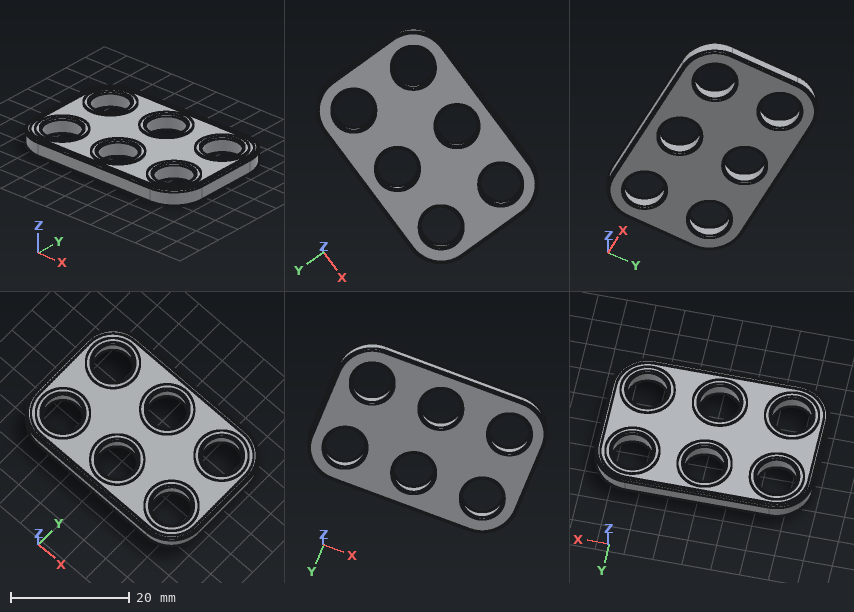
import cadquery as cq

columns = 3
rows = 2
length = 37.5
pitch = length / columns
width = rows * pitch
thickness = pitch / 4
corner_radius = pitch / 2
edge_chamfer = 0.3

rim_width = 0.82
recess_depth = 0.2
ring_diameter = 9.2

hole_diameter = 7.0


def rounded_plate(inset, height):
    """Rounded rectangle, drawn in evenly from the plate outline and standing on Z = 0."""
    return (
        cq.Workplane("XY")
        .rect(length - 2 * inset, width - 2 * inset)
        .extrude(height)
        .edges("|Z")
        .fillet(corner_radius - inset)
    )


def grid_cylinders(diameter, height):
    """One upright cylinder per grid cell, standing on Z = 0."""
    return (
        cq.Workplane("XY")
        .rarray(pitch, pitch, columns, rows)
        .circle(diameter / 2)
        .extrude(height)
    )


plate = rounded_plate(0, thickness).cut(grid_cylinders(hole_diameter, thickness))
plate = plate.faces("<Z or >Z").edges().chamfer(edge_chamfer)

recess = rounded_plate(rim_width, recess_depth).cut(grid_cylinders(ring_diameter, recess_depth))
result = plate.cut(recess.translate((0, 0, thickness - recess_depth)))